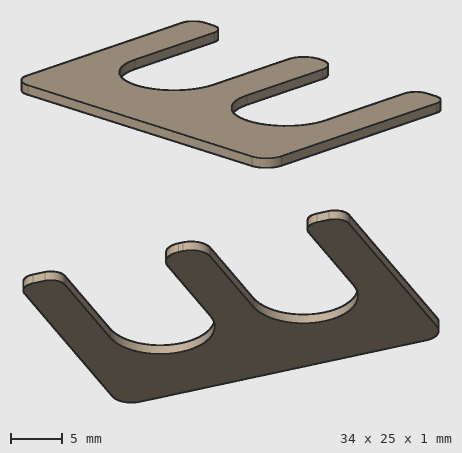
import cadquery as cq

width = 34.0
depth = 25.0
thickness = 1.0
base_corner_radius = 2.0

slot_width = 10.5
slot_spacing = 15.0
slot_arc_center_height = 12.5
slot_radius = slot_width / 2
slot_centers = (-slot_spacing / 2, slot_spacing / 2)

outer_tip_radius = 1.5
middle_tip_radius = 2.0

back_y = depth / 2
slot_arc_y = slot_arc_center_height - depth / 2
edge_tolerance = 0.05


def make_slot(center_x):
    """Slot cutter with a semicircular floor."""
    return (
        cq.Workplane("XY")
        .moveTo(center_x - slot_radius, back_y)
        .lineTo(center_x - slot_radius, slot_arc_y)
        .threePointArc((center_x, slot_arc_y - slot_radius), (center_x + slot_radius, slot_arc_y))
        .lineTo(center_x + slot_radius, back_y)
        .close()
        .extrude(thickness)
    )


def round_finger_tip(body, center_x, finger_width, radius):
    """Round both back corners of the finger centred on center_x."""
    reach = finger_width / 2 + edge_tolerance
    corners = cq.selectors.BoxSelector(
        (center_x - reach, back_y - edge_tolerance, 0),
        (center_x + reach, back_y + edge_tolerance, thickness),
    )
    return body.edges("|Z").edges(corners).fillet(radius)


plate = cq.Workplane("XY").box(width, depth, thickness, centered=(True, True, False))
plate = plate.edges("|Z and <Y").fillet(base_corner_radius)

for center_x in slot_centers:
    plate = plate.cut(make_slot(center_x))

middle_finger_width = slot_spacing - slot_width
outer_finger_width = (width - slot_spacing - slot_width) / 2
outer_finger_x = (width - outer_finger_width) / 2

plate = round_finger_tip(plate, 0, middle_finger_width, middle_tip_radius)
for center_x in (-outer_finger_x, outer_finger_x):
    plate = round_finger_tip(plate, center_x, outer_finger_width, outer_tip_radius)

result = plate